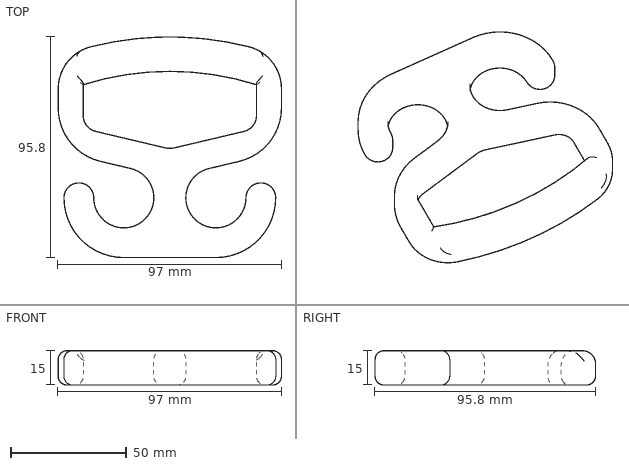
import cadquery as cq
import math

thickness = 15.0
top_z = thickness / 2
edge_radius = 4.0
bar_edge_radius = 6.0

hook_spacing = 40.0
hook_inner_radius = 13.0
hook_outer_radius = 26.0
hook_x = hook_spacing / 2
tip_radius = (hook_outer_radius - hook_inner_radius) / 2
tip_x = hook_x + hook_inner_radius + tip_radius

handle_width = 97.0
half_width = handle_width / 2
handle_top = 69.8
bar_outer_radius = 140.0
bar_width = 15.0
bar_inner_radius = bar_outer_radius - bar_width
bar_center_y = handle_top - bar_outer_radius
upper_corner_radius = 19.0
lower_corner_radius = 24.0
slope = 13.3

rail_width = 11.0
window_half_width = half_width - rail_width
window_vertex_y = 21.2
window_corner_radius = 7.0
window_vertex_radius = 9.0

overshoot = 4.85
slab_size = 2 * handle_width


def on_circle(center, radius, angle):
    """Point on a circle, with the angle in degrees counted anticlockwise from +X."""
    turn = math.radians(angle)
    return (center[0] + radius * math.cos(turn), center[1] + radius * math.sin(turn))


def upper_corner():
    """Centre of the upper left corner, and the angle at which its arc runs into the bar."""
    center_x = upper_corner_radius - half_width
    rise = math.sqrt((bar_outer_radius - upper_corner_radius) ** 2 - center_x**2)
    return (center_x, bar_center_y + rise), math.degrees(math.atan2(rise, center_x))


def lower_corner():
    """Centre of the lower left corner, whose arc shares a sloped tangent with the hook mouth."""
    center_x = lower_corner_radius - half_width
    reach = hook_inner_radius + lower_corner_radius
    tilt = math.radians(slope)
    center_y = (reach - (center_x + hook_x) * math.sin(tilt)) / math.cos(tilt)
    return (center_x, center_y)


def outline_plate():
    """Extruded outer outline: the left half and its mirror image."""
    hook = (-hook_x, 0)
    slope_normal = 90 - slope
    low = lower_corner()
    high, bar_angle = upper_corner()
    mouth_middle = (180 + 360 + slope_normal) / 2
    low_middle = (180 + 180 + slope_normal) / 2
    bar_middle = (90 + bar_angle) / 2
    half = (
        cq.Workplane("XY", origin=(0, 0, -top_z))
        .moveTo(0, -hook_outer_radius)
        .lineTo(-hook_x, -hook_outer_radius)
        .threePointArc(on_circle(hook, hook_outer_radius, 225), (-hook_x - hook_outer_radius, 0))
        .threePointArc((-tip_x, tip_radius), (-hook_x - hook_inner_radius, 0))
        .threePointArc(
            on_circle(hook, hook_inner_radius, mouth_middle),
            on_circle(hook, hook_inner_radius, slope_normal),
        )
        .lineTo(*on_circle(low, lower_corner_radius, 180 + slope_normal))
        .threePointArc(on_circle(low, lower_corner_radius, low_middle), (-half_width, low[1]))
        .lineTo(-half_width, high[1])
        .threePointArc(
            on_circle(high, upper_corner_radius, (180 + bar_angle) / 2),
            on_circle(high, upper_corner_radius, bar_angle),
        )
        .threePointArc(
            on_circle((0, bar_center_y), bar_outer_radius, bar_middle),
            (0, handle_top),
        )
        .close()
        .extrude(thickness)
    )
    return half.union(half.mirror("YZ")).clean()


def window_surround():
    """Oversize slab around the handle opening, with straight rails and a bare upper end."""
    side_y = window_vertex_y + window_half_width * math.tan(math.radians(slope))
    end_y = handle_top + overshoot
    opening = (
        cq.Workplane("XY", origin=(0, 0, -top_z))
        .moveTo(0, window_vertex_y)
        .lineTo(window_half_width, side_y)
        .lineTo(window_half_width, end_y)
        .lineTo(-window_half_width, end_y)
        .lineTo(-window_half_width, side_y)
        .close()
        .extrude(thickness)
    )
    opening = opening.edges("|Z and <Y").fillet(window_vertex_radius)
    opening = opening.edges("|Z and (not <Y) and (not >Y)").fillet(window_corner_radius)
    slab = cq.Workplane("XY").box(slab_size, slab_size, thickness).cut(opening)
    return slab.faces("|Z").edges().fillet(edge_radius)


def ring_about_bar_center(section):
    """Revolve a section drawn as (distance from the bar centre, height)."""
    return section.close().revolve(360, (0, 0, 0), (0, 1, 0)).translate((0, bar_center_y, 0))


def bar_ring():
    """Ring holding the bar, with its inner edges rounded more on top than underneath."""
    top_center = (bar_inner_radius + bar_edge_radius, top_z - bar_edge_radius)
    bottom_center = (bar_inner_radius + edge_radius, edge_radius - top_z)
    outer = bar_outer_radius + overshoot
    section = (
        cq.Workplane("XZ")
        .moveTo(outer, top_z)
        .lineTo(top_center[0], top_z)
        .threePointArc(on_circle(top_center, bar_edge_radius, 135), (bar_inner_radius, top_center[1]))
        .lineTo(bar_inner_radius, bottom_center[1])
        .threePointArc(on_circle(bottom_center, edge_radius, 225), (bottom_center[0], -top_z))
        .lineTo(outer, -top_z)
    )
    return ring_about_bar_center(section)


def bar_crest_cutter():
    """Ring that rounds the top outer edge of the bar and fades out in the upper corners."""
    arc_center = (bar_outer_radius - bar_edge_radius, top_z - bar_edge_radius)
    outer = bar_outer_radius + overshoot
    section = (
        cq.Workplane("XZ")
        .moveTo(arc_center[0], top_z)
        .threePointArc(on_circle(arc_center, bar_edge_radius, 45), (bar_outer_radius, arc_center[1]))
        .lineTo(outer, arc_center[1])
        .lineTo(outer, top_z + overshoot)
        .lineTo(arc_center[0], top_z + overshoot)
    )
    return ring_about_bar_center(section)


body = outline_plate().faces("|Z").edges().fillet(edge_radius).cut(bar_crest_cutter())
rails = body.intersect(window_surround())
bar = body.intersect(bar_ring())
result = rails.union(bar)